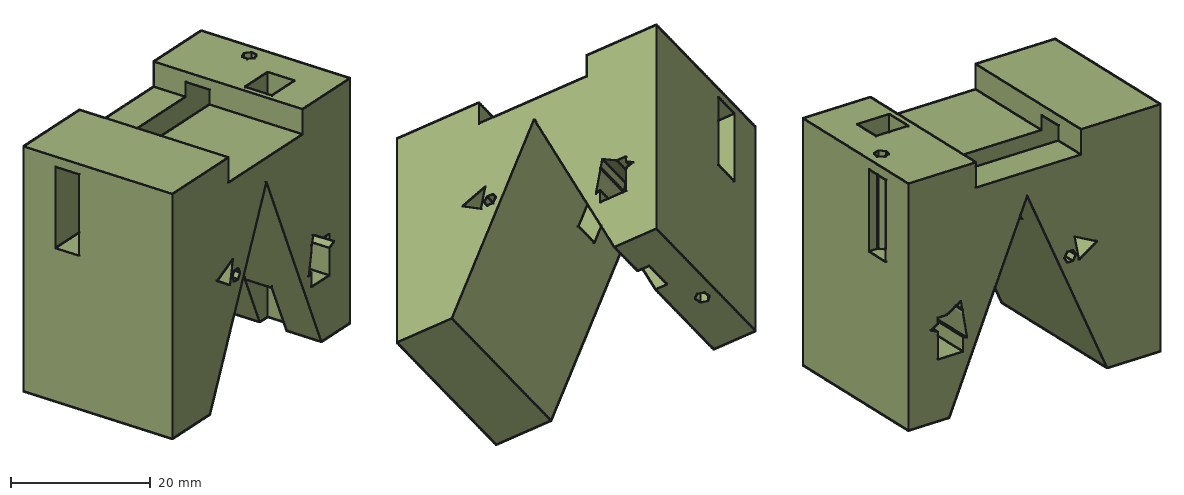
import cadquery as cq

width = 26.05
length = 44.4
height = 39.45

channel_front = -8.15
channel_back = 10.3
channel_depth = 4.05

v_front = -12.8
v_back = 15.0
v_apex_y = 1.3
v_apex_z = 31.52

slot_left = 5.6
slot_right = 9.75
slot_bottom = 24.75
slot_top = 37.85

shaft_left = 15.27
shaft_right = 20.0
shaft_front = 11.3
shaft_back = 17.0

window_front = 12.55
window_back = shaft_back
window_bottom = 9.9
window_top = 16.55

window_triangle = [(18.2, 14.87), (12.95, 18.05), (11.85, 11.9)]
front_triangle = [(-7.05, 22.65), (-10.95, 20.8), (-7.8, 18.75)]

cross_hex_center = (-6.25, 19.7)
cross_hex_diameter = 2.0
upright_hex_center = (10.15, 19.7)
upright_hex_diameter = 2.18
upright_hex_turn = -12


def box_between(x_range, y_range, z_range):
    """Box filling the given (low, high) ranges."""
    sizes = [high - low for low, high in (x_range, y_range, z_range)]
    corner = (x_range[0], y_range[0], z_range[0])
    return cq.Workplane("XY").box(*sizes, centered=False).translate(corner)


def cross_prism(corners):
    """Prism with (Y, Z) corners, running through the whole width."""
    return cq.Workplane("YZ").polyline(corners).close().extrude(width)


all_x = (0, width)
all_y = (-length / 2, length / 2)
all_z = (0, height)

block = box_between(all_x, all_y, all_z)
channel = box_between(all_x, (channel_front, channel_back), (height - channel_depth, height))
v_opening = cross_prism([(v_front, 0), (v_apex_y, v_apex_z), (v_back, 0)])
slot = box_between((slot_left, slot_right), all_y, (slot_bottom, slot_top))
shaft = box_between((shaft_left, shaft_right), (shaft_front, shaft_back), all_z)
window = box_between(all_x, (window_front, window_back), (window_bottom, window_top))

cross_hex = (
    cq.Workplane("YZ")
    .center(*cross_hex_center)
    .polygon(6, cross_hex_diameter)
    .extrude(width)
)
upright_hex = (
    cq.Workplane("XY")
    .polygon(6, upright_hex_diameter)
    .extrude(height)
    .rotate((0, 0, 0), (0, 0, 1), upright_hex_turn)
    .translate((*upright_hex_center, 0))
)

result = (
    block.cut(channel)
    .cut(v_opening)
    .cut(slot)
    .cut(shaft)
    .cut(window)
    .cut(cross_prism(window_triangle))
    .cut(cross_prism(front_triangle))
    .cut(cross_hex)
    .cut(upright_hex)
)